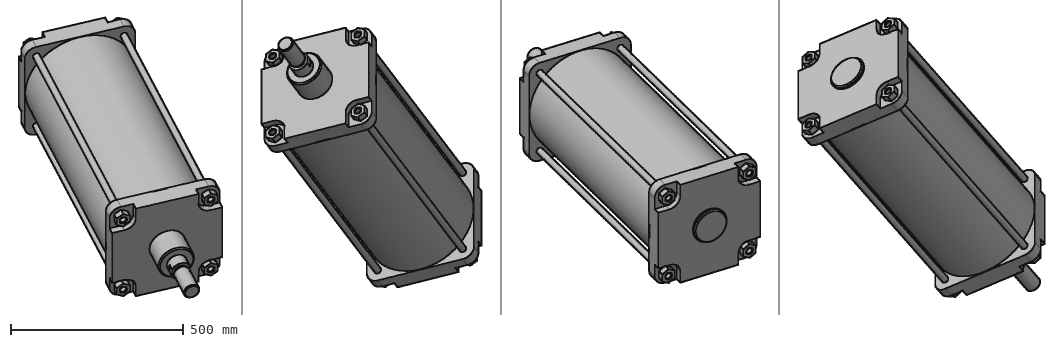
import cadquery as cq
import math

total_length = 1046.0
rear_face = 10.0
cover_thickness = 55.0
front_face = 830.0
barrel_start = rear_face + cover_thickness
barrel_end = front_face - cover_thickness

cover_side = 340.0
tie_rod_offset = 135.0
cover_corner_radius = cover_side / 2 - tie_rod_offset
recess_depth = 22.0
recess_side = 73.0
recess_radius = 36.0
boss_diameter = 110.0
front_boss_end = 912.0
boss_chamfer = 4.0

barrel_diameter = 337.0

tie_rod_diameter = 21.0
nut_across_flats = 42.0
nut_height = 21.0
nut_gap = recess_depth - nut_height
nut_bore_diameter = 18.0
nut_bore_chamfer = 2.6

rod_diameter = 61.0
rod_flat_width = 54.0
rod_flat_start = 928.0
rod_shoulder = 950.0
neck_diameter = 42.0
thread_start = 956.0
thread_diameter = 48.0
thread_chamfer = 3.0

offset_pair = (-tie_rod_offset, tie_rod_offset)
tie_rod_centers = [(y, z) for y in offset_pair for z in offset_pair]


def cylinder(start, end, diameter):
    """Cylinder on the main axis between two X positions."""
    return cq.Workplane("YZ", origin=(start, 0, 0)).circle(diameter / 2).extrude(end - start)


def make_cover_plate(inner_face, outer_face):
    """Square plate with rounded edges, a recess in each outer corner and tie rod holes."""
    outward = math.copysign(1, outer_face - inner_face)
    plate = (
        cq.Workplane("YZ", origin=(inner_face, 0, 0))
        .rect(cover_side, cover_side)
        .extrude(outward * cover_thickness)
        .edges("|X")
        .fillet(cover_corner_radius)
    )
    recesses = (
        cq.Workplane("YZ", origin=(outer_face, 0, 0))
        .rect(cover_side, cover_side, forConstruction=True)
        .vertices()
        .rect(2 * recess_side, 2 * recess_side)
        .extrude(-outward * recess_depth)
        .edges("|X")
        .fillet(recess_radius)
    )
    tie_rod_holes = (
        cq.Workplane("YZ", origin=(inner_face, 0, 0))
        .pushPoints(tie_rod_centers)
        .circle(tie_rod_diameter / 2)
        .extrude(outward * cover_thickness)
    )
    return plate.cut(recesses).cut(tie_rod_holes)


def make_rear_cover():
    boss = cylinder(0, rear_face, boss_diameter).faces("<X").chamfer(boss_chamfer)
    return make_cover_plate(barrel_start, rear_face).union(boss)


def make_front_cover():
    boss = cylinder(front_face, front_boss_end, boss_diameter).faces(">X").chamfer(boss_chamfer)
    rod_bore = cylinder(barrel_end, front_boss_end, rod_diameter)
    return make_cover_plate(barrel_end, front_face).union(boss).cut(rod_bore)


def make_piston_rod():
    """Stepped rod with two wrench flats facing +Y and -Y, a neck and a threaded end."""
    shank = cylinder(barrel_end, rod_flat_start, rod_diameter)
    flat_length = rod_shoulder - rod_flat_start
    flat_block = (
        cq.Workplane("YZ", origin=(rod_flat_start, 0, 0))
        .rect(rod_flat_width, rod_diameter)
        .extrude(flat_length)
    )
    wrench_section = cylinder(rod_flat_start, rod_shoulder, rod_diameter).intersect(flat_block)
    neck = cylinder(rod_shoulder, thread_start, neck_diameter)
    thread = cylinder(thread_start, total_length, thread_diameter).faces(">X").chamfer(thread_chamfer)
    return shank.union(wrench_section).union(neck).union(thread)


def make_nut(outer_end, inward, y, z):
    """Hexagonal nut with two flats facing +Y and -Y and a chamfered bore through it."""
    end_plane = cq.Workplane("YZ", origin=(outer_end, y, z))
    hexagon = end_plane.polygon(6, nut_across_flats, circumscribed=True).extrude(inward * nut_height)
    bore = end_plane.circle(nut_bore_diameter / 2).extrude(inward * nut_height)
    bore_mouth = cq.Solid.makeCone(
        nut_bore_diameter / 2 + nut_bore_chamfer,
        nut_bore_diameter / 2,
        nut_bore_chamfer,
        pnt=cq.Vector(outer_end, y, z),
        dir=cq.Vector(inward, 0, 0),
    )
    return hexagon.cut(bore).cut(cq.Workplane(bore_mouth))


def make_tie_rod(y, z):
    """Rod along X between the recess floors, with a nut joined to each end."""
    rod_start = rear_face + recess_depth
    rod_end = front_face - recess_depth
    rod = (
        cq.Workplane("YZ", origin=(rod_start, y, z))
        .circle(tie_rod_diameter / 2)
        .extrude(rod_end - rod_start)
    )
    rear_nut = make_nut(rear_face + nut_gap, 1, y, z)
    front_nut = make_nut(front_face - nut_gap, -1, y, z)
    return rod.union(rear_nut).union(front_nut)


rear_cover = make_rear_cover()
front_cover = make_front_cover()
barrel = cylinder(barrel_start, barrel_end, barrel_diameter)
piston_rod = make_piston_rod()
tie_rods = [make_tie_rod(y, z) for y, z in tie_rod_centers]

result = cq.Compound.makeCompound(
    [rear_cover.val(), front_cover.val(), barrel.val(), piston_rod.val()]
    + [tie_rod.val() for tie_rod in tie_rods]
)